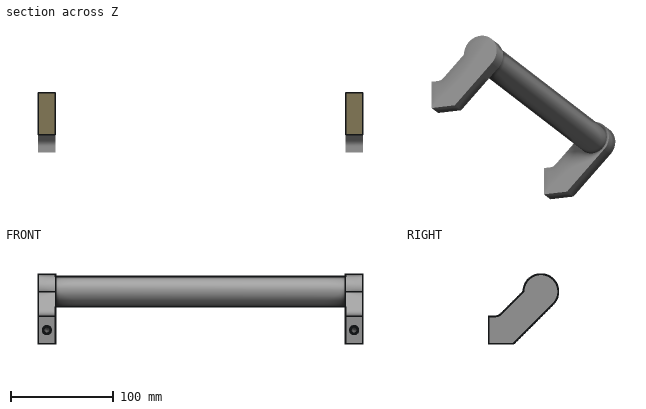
import cadquery as cq
import math

overall_length = 317.0
bracket_width = 17.0
hub_radius = 17.0
bar_radius = 15.0
reach = 51.0
foot_height = 27.0
bend_radius = 8.0

hole_diameter = 6.3
hole_mouth_diameter = 8.2
hole_depth = 19.0
drill_tip_angle = 118.0

tangent_offset = hub_radius * math.sqrt(0.5)
underside_bend_y = -reach + hub_radius * math.sqrt(2)
foot_top_z = -reach + foot_height
inside_bend_y = foot_top_z - hub_radius


def make_hole(center_x):
    """Blind, chamfered hole with a conical end, bored into the mounting face."""
    hole_radius = hole_diameter / 2
    mouth_radius = hole_mouth_diameter / 2
    chamfer_depth = mouth_radius - hole_radius
    tip_length = hole_radius / math.tan(math.radians(drill_tip_angle / 2))
    half_section = [
        (0, 0),
        (mouth_radius, 0),
        (hole_radius, chamfer_depth),
        (hole_radius, hole_depth),
        (0, hole_depth + tip_length),
    ]
    hole = cq.Workplane("XY").polyline(half_section).close().revolve(360, (0, 0), (0, 1))
    return hole.translate((center_x, -reach, -reach + foot_height / 2))


def make_bracket(center_x):
    """Round hub, sloping arm and mounting foot, centered on center_x."""
    bracket = (
        cq.Workplane("YZ", origin=(center_x - bracket_width / 2, 0, 0))
        .moveTo(-hub_radius, 0)
        .threePointArc((tangent_offset, tangent_offset), (tangent_offset, -tangent_offset))
        .lineTo(underside_bend_y, -reach)
        .lineTo(-reach, -reach)
        .lineTo(-reach, foot_top_z)
        .lineTo(inside_bend_y, foot_top_z)
        .close()
        .extrude(bracket_width)
    )
    inside_bend = cq.selectors.NearestToPointSelector((center_x, inside_bend_y, foot_top_z))
    bracket = bracket.edges("|X").edges(inside_bend).fillet(bend_radius)
    return bracket.cut(make_hole(center_x))


bar_length = overall_length - 2 * bracket_width
result = cq.Workplane("YZ").circle(bar_radius).extrude(bar_length / 2, both=True)

bracket_x = (overall_length - bracket_width) / 2
for end in (-1, 1):
    result = result.union(make_bracket(end * bracket_x))